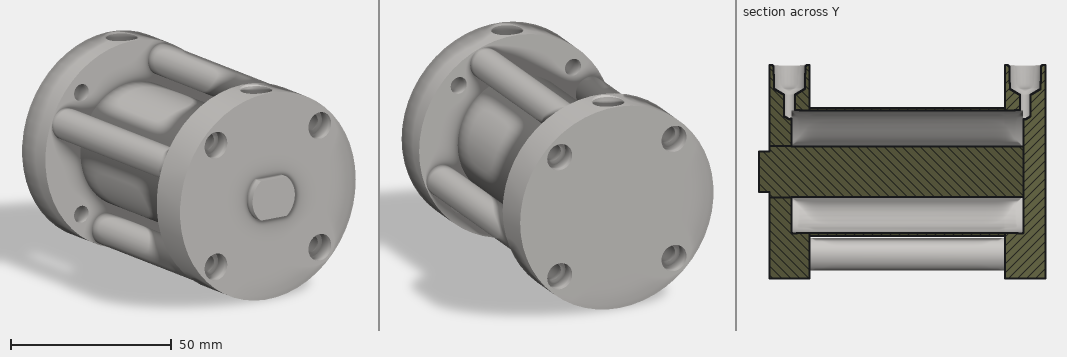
import cadquery as cq
import math

cap_diameter = 66.55
cap_radius = cap_diameter / 2
cap_thickness = 12.7
rod_projection = 3.175
overall_length = 89.15
cap_gap = overall_length - 2 * cap_thickness - rod_projection
chamber_depth = 5.7

barrel_diameter = 40.0
bore_diameter = 38.1

fastener_count = 4
fastener_angle = 360 / fastener_count
bolt_circle_radius = 27.8
tie_rod_diameter = 10.1
tie_rod_start_angle = fastener_angle / 4

mounting_hole_start_angle = fastener_angle / 2
mounting_hole_diameter = 5.5
counterbore_diameter = 8.6
counterbore_depth = 5.0

port_mouth_diameter = 9.8
port_taper = 1 / 16
port_countersink_diameter = 10.9
port_depth = 7.5
port_passage_diameter = 3.2
port_passage_depth = 16.0
drill_point_angle = 118

piston_rod_diameter = 16.0
wrench_flat_width = 12.7

inner_face_x = cap_gap / 2
outer_face_x = inner_face_x + cap_thickness
port_x = inner_face_x + cap_thickness / 2
chamber_floor_x = inner_face_x + chamber_depth


def cylinder_along_x(diameter, start_x, end_x, y=0, z=0):
    return (
        cq.Workplane("YZ", origin=(start_x, y, z))
        .circle(diameter / 2)
        .extrude(end_x - start_x)
    )


def bolt_circle_points(start_angle):
    """Y, Z places of the fasteners around the X axis."""
    points = []
    for index in range(fastener_count):
        angle = math.radians(start_angle + index * fastener_angle)
        points.append((bolt_circle_radius * math.sin(angle), bolt_circle_radius * math.cos(angle)))
    return points


def make_port_cutter():
    """Countersunk, tapered, stepped bore with drill-point ends, revolved about a vertical axis."""
    point_slope = math.tan(math.radians(drill_point_angle / 2))
    mouth_radius = port_mouth_diameter / 2
    passage_radius = port_passage_diameter / 2
    countersink_radius = port_countersink_diameter / 2
    mouth_z = cap_radius - (countersink_radius - mouth_radius)
    shoulder_z = cap_radius - port_depth
    shoulder_radius = mouth_radius - (mouth_z - shoulder_z) * port_taper / 2
    passage_top_z = shoulder_z - (shoulder_radius - passage_radius) / point_slope
    passage_end_z = cap_radius - port_passage_depth
    return (
        cq.Workplane("XZ")
        .moveTo(0, cap_radius)
        .lineTo(countersink_radius, cap_radius)
        .lineTo(mouth_radius, mouth_z)
        .lineTo(shoulder_radius, shoulder_z)
        .lineTo(passage_radius, passage_top_z)
        .lineTo(passage_radius, passage_end_z)
        .lineTo(0, passage_end_z - passage_radius / point_slope)
        .close()
        .revolve(360, (0, 0, 0), (0, 1, 0))
        .translate((port_x, 0, 0))
    )


def make_end_cap():
    """Cap at the +X end, with its chamber facing the barrel."""
    cap = cylinder_along_x(cap_diameter, inner_face_x, outer_face_x)
    cap = cap.cut(cylinder_along_x(bore_diameter, inner_face_x, chamber_floor_x))
    for y, z in bolt_circle_points(mounting_hole_start_angle):
        cap = cap.cut(cylinder_along_x(mounting_hole_diameter, inner_face_x, outer_face_x, y, z))
        counterbore_floor_x = outer_face_x - counterbore_depth
        cap = cap.cut(cylinder_along_x(counterbore_diameter, counterbore_floor_x, outer_face_x, y, z))
    return cap.cut(make_port_cutter())


def make_barrel():
    barrel = cylinder_along_x(barrel_diameter, -inner_face_x, inner_face_x)
    return barrel.cut(cylinder_along_x(bore_diameter, -inner_face_x, inner_face_x))


def make_tie_rod(y, z):
    return cylinder_along_x(tie_rod_diameter, -inner_face_x, inner_face_x, y, z)


def make_piston_rod():
    """Rod from the blind cap's chamber floor out through the other cap."""
    shank = cylinder_along_x(piston_rod_diameter, -chamber_floor_x, outer_face_x)
    free_end = cylinder_along_x(piston_rod_diameter, outer_face_x, outer_face_x + rod_projection)
    flats = cq.Workplane("XY", origin=(outer_face_x + rod_projection / 2, 0, 0)).box(
        rod_projection, piston_rod_diameter, wrench_flat_width
    )
    return shank.union(free_end.intersect(flats))


plain_cap = make_end_cap()
rod_cap = plain_cap.cut(cylinder_along_x(piston_rod_diameter, inner_face_x, outer_face_x))
blind_cap = plain_cap.mirror("YZ")
barrel = make_barrel()
tie_rods = [make_tie_rod(y, z) for y, z in bolt_circle_points(tie_rod_start_angle)]
piston_rod = make_piston_rod()

result = cq.Compound.makeCompound(
    [
        blind_cap.val(),
        rod_cap.val(),
        barrel.val(),
        *[tie_rod.val() for tie_rod in tie_rods],
        piston_rod.val(),
    ]
)